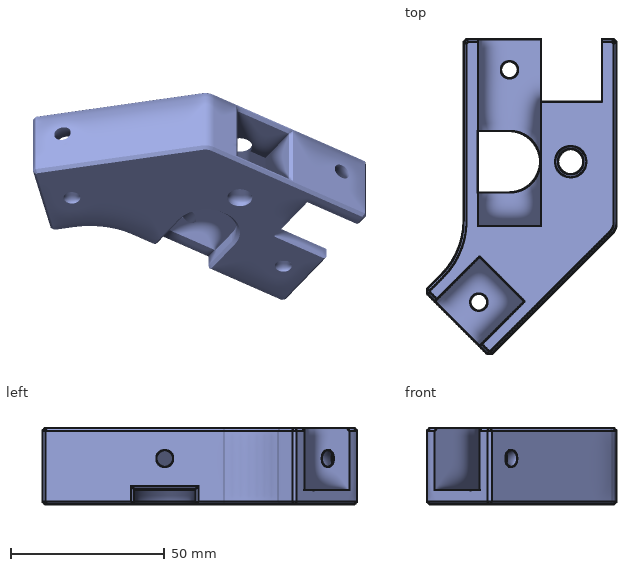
import cadquery as cq
import math

BODY_WIDTH = 50.0
BODY_HEIGHT = 25.0
STRAIGHT_LENGTH = 60.0
ARM_WIDTH = 30.0
ARM_RUN = 40.0
OUTER_BEND_RADIUS = 5.0
INNER_BEND_RADIUS = 25.0
BEND_ANGLE = 45.0
EDGE_CHAMFER = 1.0

TUBE_SIZE = 20.0
SOCKET_WIDTH = 20.7
CHANNEL_LENGTH = 61.0
SCREW_DIAMETER = 5.5

TUBE_AXIS_X = 15.0
POST_AXIS_X = 35.0
NOTCH_DEPTH = 20.35
POST_WALL = 4.8

ACCESS_RADIUS = 10.0
ACCESS_HEIGHT = 5.0
MOUTH_CHAMFER = 1.0
CHAMFER_ANGLE = 45.0

BORE_DIAMETER = 8.2
BORE_CHAMFER = 1.0
POCKET_SIZE = 20.0

COS45 = math.cos(math.radians(BEND_ANGLE))
SOCKET_FLOOR = (ARM_WIDTH - SOCKET_WIDTH) / 2
SCREW_SETBACK = TUBE_SIZE / 2
SCREW_Z = SOCKET_FLOOR + SOCKET_WIDTH / 2
MIDDLE_Y = -2 * TUBE_SIZE
CHANNEL_LEFT = TUBE_AXIS_X - SOCKET_WIDTH / 2
CHANNEL_RIGHT = TUBE_AXIS_X + SOCKET_WIDTH / 2

TANGENT_FACTOR = math.tan(math.radians(BEND_ANGLE / 2))
outer_bend_y = -STRAIGHT_LENGTH - OUTER_BEND_RADIUS * TANGENT_FACTOR
arm_tip_x = BODY_WIDTH - OUTER_BEND_RADIUS * (1 - COS45) - ARM_RUN
arm_tip_y = -STRAIGHT_LENGTH - OUTER_BEND_RADIUS * COS45 - ARM_RUN
arm_heel_x = arm_tip_x - ARM_WIDTH * COS45
arm_heel_y = arm_tip_y + ARM_WIDTH * COS45
inner_bend_y = arm_heel_y - arm_heel_x

ARM_PLANE = cq.Plane(
    origin=((arm_tip_x + arm_heel_x) / 2, (arm_tip_y + arm_heel_y) / 2, 0),
    xDir=(1, 1, 0),
    normal=(0, 0, 1),
)


def box(x_min, x_max, y_min, y_max, z_min, z_max):
    """Axis-aligned box between the given limits."""
    size = (x_max - x_min, y_max - y_min, z_max - z_min)
    return cq.Workplane("XY").box(*size, centered=False).translate((x_min, y_min, z_min))


def make_body():
    """Bent solid block with its outer edges chamfered."""
    corners = [
        (0, 0),
        (BODY_WIDTH, 0),
        (BODY_WIDTH, outer_bend_y),
        (arm_tip_x, arm_tip_y),
        (arm_heel_x, arm_heel_y),
        (0, inner_bend_y),
    ]
    body = cq.Workplane("XY").polyline(corners).close().extrude(BODY_HEIGHT)

    def edge_at(x, y):
        return cq.selectors.NearestToPointSelector((x, y, BODY_HEIGHT / 2))

    body = body.edges(edge_at(BODY_WIDTH, outer_bend_y)).fillet(OUTER_BEND_RADIUS)
    body = body.edges(edge_at(0, inner_bend_y)).fillet(INNER_BEND_RADIUS)
    for x, y in [(0, 0), (BODY_WIDTH, 0), (arm_tip_x, arm_tip_y), (arm_heel_x, arm_heel_y)]:
        body = body.edges(edge_at(x, y)).chamfer(EDGE_CHAMFER)
    return body.faces("<Z or >Z").edges().chamfer(EDGE_CHAMFER)


def make_tube_channel():
    """Long channel along Y, open at the top and at the +Y end."""
    return box(CHANNEL_LEFT, CHANNEL_RIGHT, -CHANNEL_LENGTH, 0, SOCKET_FLOOR, BODY_HEIGHT)


def make_post_notch():
    """Notch through the full height beside the channel, open at the +Y end."""
    return box(CHANNEL_RIGHT, BODY_WIDTH - POST_WALL, -NOTCH_DEPTH, 0, 0, BODY_HEIGHT)


def make_arm_socket():
    """Socket in the end of the angled arm, open at the top."""
    return (
        cq.Workplane(ARM_PLANE)
        .workplane(offset=SOCKET_FLOOR)
        .center(SOCKET_WIDTH / 2, 0)
        .rect(SOCKET_WIDTH, SOCKET_WIDTH)
        .extrude(BODY_HEIGHT)
    )


def access_outline(radius):
    """Round-ended outline reaching from the -X side past the tube axis."""
    return (
        cq.Workplane("XY")
        .moveTo(0, MIDDLE_Y - radius)
        .lineTo(TUBE_AXIS_X, MIDDLE_Y - radius)
        .threePointArc((TUBE_AXIS_X + radius, MIDDLE_Y), (TUBE_AXIS_X, MIDDLE_Y + radius))
        .lineTo(0, MIDDLE_Y + radius)
        .close()
    )


def make_floor_access():
    """Round-ended opening in the channel floor, flared at the bottom and where it leaves the -X side."""
    opening = access_outline(ACCESS_RADIUS).extrude(ACCESS_HEIGHT)
    bottom_flare = access_outline(ACCESS_RADIUS + MOUTH_CHAMFER).extrude(MOUTH_CHAMFER, taper=CHAMFER_ANGLE)
    side_flare = (
        cq.Workplane("YZ")
        .center(MIDDLE_Y, 0)
        .rect(2 * (ACCESS_RADIUS + MOUTH_CHAMFER), 2 * (ACCESS_HEIGHT + MOUTH_CHAMFER))
        .extrude(MOUTH_CHAMFER, taper=CHAMFER_ANGLE)
    )
    return opening.union(bottom_flare).union(side_flare)


def make_bore():
    """Vertical bore with a chamfered top rim."""
    radius = BORE_DIAMETER / 2
    bore = cq.Workplane("XY").center(POST_AXIS_X, MIDDLE_Y).circle(radius).extrude(BODY_HEIGHT)
    rim = (
        cq.Workplane("XY")
        .workplane(offset=BODY_HEIGHT)
        .center(POST_AXIS_X, MIDDLE_Y)
        .circle(radius + BORE_CHAMFER)
        .extrude(-BORE_CHAMFER, taper=CHAMFER_ANGLE)
    )
    return bore.union(rim)


def make_side_pocket():
    """Square pocket at mid-height, from the +X side to the bore's axis, with a chamfered mouth."""
    depth = BODY_WIDTH - POST_AXIS_X
    side_face = cq.Workplane("YZ", origin=(BODY_WIDTH, MIDDLE_Y, BODY_HEIGHT / 2))
    mouth_size = POCKET_SIZE + 2 * MOUTH_CHAMFER
    pocket = side_face.rect(POCKET_SIZE, POCKET_SIZE).extrude(-depth)
    mouth = side_face.rect(mouth_size, mouth_size).extrude(-MOUTH_CHAMFER, taper=CHAMFER_ANGLE)
    return pocket.union(mouth)


def screw_hole(start, direction, length):
    """Screw clearance hole from a start point along a direction."""
    return cq.Workplane(
        cq.Solid.makeCylinder(SCREW_DIAMETER / 2, length, cq.Vector(*start), cq.Vector(*direction))
    )


def make_screw_holes():
    """One hole in each socket floor and one in each socket side wall."""
    arm_floor = ARM_PLANE.toWorldCoords((SCREW_SETBACK, 0, 0)).toTuple()
    arm_side = ARM_PLANE.toWorldCoords((SCREW_SETBACK, -ARM_WIDTH / 2, SCREW_Z)).toTuple()
    return [
        screw_hole((TUBE_AXIS_X, -SCREW_SETBACK, 0), (0, 0, 1), SCREW_Z),
        screw_hole(arm_floor, (0, 0, 1), SCREW_Z),
        screw_hole((0, MIDDLE_Y, SCREW_Z), (1, 0, 0), TUBE_AXIS_X),
        screw_hole((BODY_WIDTH, -SCREW_SETBACK, SCREW_Z), (-1, 0, 0), BODY_WIDTH - POST_AXIS_X),
        screw_hole(arm_side, (-1, 1, 0), ARM_WIDTH / 2),
    ]


result = make_body()
cutters = [
    make_tube_channel(),
    make_post_notch(),
    make_arm_socket(),
    make_floor_access(),
    make_bore(),
    make_side_pocket(),
]
for cutter in cutters + make_screw_holes():
    result = result.cut(cutter)